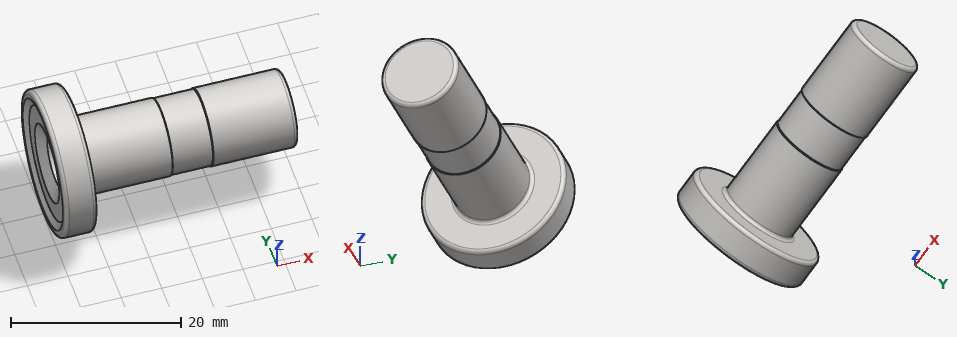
import cadquery as cq

total_length = 30.0
head_radius = 9.0
head_thickness = 4.0
shank_radius = 9.5 / 2
edge_radius = 0.5
neck_fillet = 0.45

band_start = 14.5
band_end = 19.55
band_depth = 0.1
band_radius = shank_radius - band_depth

dish_mouth_radius = 8.0
dish_floor_radius = 7.08
dish_depth = 0.5

countersink_radius = 4.85
countersink_depth = 1.0
bore_radius = 3.15
bore_bottom_fillet = 0.5
bore_floor_thickness = shank_radius - bore_radius
bore_start = dish_depth + countersink_depth
bore_end = total_length - bore_floor_thickness


def turned(profile):
    """Revolve a closed (axial, radial) profile about the X axis."""
    return profile.close().revolve(360, (0, 0, 0), (1, 0, 0))


def make_head():
    head = cq.Workplane("YZ").circle(head_radius).extrude(head_thickness)
    return head.edges().fillet(edge_radius)


def make_shank():
    shank = turned(
        cq.Workplane("XY")
        .moveTo(0, 0)
        .lineTo(0, shank_radius)
        .lineTo(band_start, shank_radius)
        .lineTo(band_start + band_depth, band_radius)
        .lineTo(band_end - band_depth, band_radius)
        .lineTo(band_end, shank_radius)
        .lineTo(total_length, shank_radius)
        .lineTo(total_length, 0)
    )
    return shank.faces(">X").edges().fillet(edge_radius)


def make_cavity():
    cavity = turned(
        cq.Workplane("XY")
        .moveTo(0, 0)
        .lineTo(0, dish_mouth_radius)
        .lineTo(dish_depth, dish_floor_radius)
        .lineTo(dish_depth, countersink_radius)
        .lineTo(bore_start, bore_radius)
        .lineTo(bore_end, bore_radius)
        .lineTo(bore_end, 0)
    )
    return cavity.faces(">X").edges().fillet(bore_bottom_fillet)


neck_edge = cq.selectors.NearestToPointSelector((head_thickness, 0, 0))

body = make_head().union(make_shank())
body = body.edges("%CIRCLE").edges(neck_edge).fillet(neck_fillet)
result = body.cut(make_cavity())